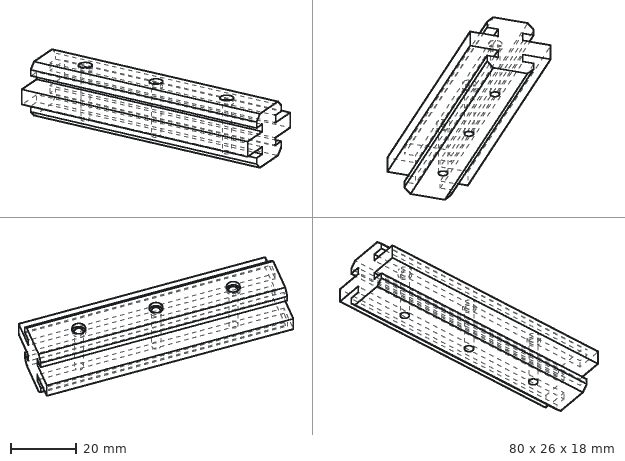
import cadquery as cq

length = 80.0
plate_width = 26.0
height = 18.0

plate_thickness = 5.0
neck_width = 8.0
head_width = 15.0
head_height = 4.0
chamfer = 2.0

hole_count = 3
hole_spacing = 25.0
hole_diameter = 2.8
counterbore_diameter = 4.2
counterbore_depth = 1.5

top_z = height / 2
head_bottom_z = top_z - head_height


def centred_bar(width, bar_height):
    """Full-length rectangular bar centred on the origin."""
    return cq.Workplane("XY").box(length, width, bar_height)


def rail_head():
    """Upper rail head with chamfered outer top corners."""
    half_head = head_width / 2
    half_flat = half_head - chamfer
    shoulder_z = top_z - chamfer
    outline = [
        (-half_head, head_bottom_z),
        (half_head, head_bottom_z),
        (half_head, shoulder_z),
        (half_flat, top_z),
        (-half_flat, top_z),
        (-half_head, shoulder_z),
    ]
    return cq.Workplane("YZ").polyline(outline).close().extrude(length / 2, both=True)


upper_head = rail_head()
lower_head = upper_head.mirror("XY")
plate = centred_bar(plate_width, plate_thickness)
neck = centred_bar(neck_width, height)
body = plate.union(neck).union(upper_head).union(lower_head)

result = (
    body.faces(">Z")
    .workplane(origin=(0, 0, 0))
    .rarray(hole_spacing, 0.8, hole_count, 1)
    .cboreHole(hole_diameter, counterbore_diameter, counterbore_depth)
)